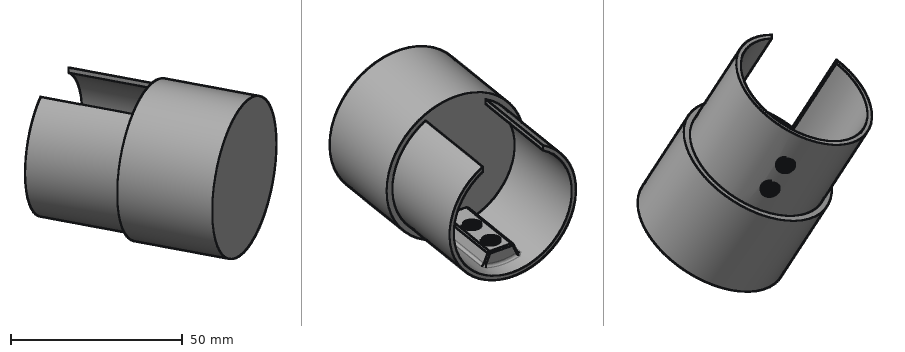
import cadquery as cq
import math

total_length = 60.0
collar_diameter = 48.3
spigot_length = 30.0
spigot_diameter = 44.3
wall = 1.5
slot_width = 21.0
bore_radius = spigot_diameter / 2 - wall

block_start = 6.0
block_top = -15.5
block_top_width = 8.6
block_flank_angle = 23.5
edge_chamfer = 0.5
root_fillet = 0.9

first_hole = 11.5
hole_count = 2
hole_spacing = 10.0
thread_minor_diameter = 5.0
thread_major_diameter = 6.0
thread_pitch = 1.0
thread_groove_floor = 0.1
thread_mouth_share = 0.44
thread_overlap = 0.27


def make_body():
    """Solid collar with a thin-walled hollow spigot."""
    spigot = (
        cq.Workplane("YZ")
        .circle(spigot_diameter / 2)
        .circle(bore_radius)
        .extrude(spigot_length)
    )
    collar = (
        cq.Workplane("YZ", origin=(spigot_length, 0, 0))
        .circle(collar_diameter / 2)
        .extrude(total_length - spigot_length)
    )
    return spigot.union(collar)


def make_block():
    """Trapezoidal block, chamfered on its top and free-end edges."""
    block_bottom = -bore_radius - wall / 2
    flank_run = (block_top - block_bottom) * math.tan(math.radians(block_flank_angle))
    top_half = block_top_width / 2
    bottom_half = top_half + flank_run
    block = (
        cq.Workplane("YZ", origin=(block_start, 0, 0))
        .polyline([
            (-bottom_half, block_bottom),
            (bottom_half, block_bottom),
            (top_half, block_top),
            (-top_half, block_top),
        ])
        .close()
        .extrude(spigot_length - block_start)
    )
    top_edges = block.faces(">Z").edges("not >X")
    end_edges = block.faces("<X").edges("not <Z")
    chamfered = top_edges.add(end_edges).chamfer(edge_chamfer)
    envelope = cq.Workplane("YZ").circle(bore_radius + wall / 2).extrude(spigot_length)
    return chamfered.intersect(envelope)


def fillet_block_root(part):
    """Round the edges where the block meets the bore."""
    tolerance = 0.005

    def on_root(edge):
        on_bore = all(
            abs(math.hypot(point.y, point.z) - bore_radius) < tolerance
            for point in edge.positions([0, 0.5, 1])
        )
        center = edge.Center()
        inside = 0 < center.x < spigot_length - root_fillet
        return on_bore and inside and center.z < 0

    root_edges = [edge for edge in part.edges().vals() if on_root(edge)]
    return part.newObject(root_edges).fillet(root_fillet)


def cut_threaded_hole(part, x):
    """Cut one vertical screw hole with a helical thread."""
    bottom = -spigot_diameter / 2 - thread_pitch
    height = block_top + thread_pitch - bottom
    minor_radius = thread_minor_diameter / 2
    major_radius = thread_major_diameter / 2
    inner_radius = minor_radius - thread_overlap
    mouth_half = thread_pitch * thread_mouth_share
    helix = cq.Wire.makeHelix(thread_pitch, height, minor_radius)
    groove = (
        cq.Workplane("XZ")
        .polyline([
            (inner_radius, -mouth_half),
            (major_radius, -thread_groove_floor / 2),
            (major_radius, thread_groove_floor / 2),
            (inner_radius, mouth_half),
        ])
        .close()
        .sweep(cq.Workplane(obj=helix), isFrenet=True)
    )
    drill = cq.Workplane("XY").circle(minor_radius).extrude(height)
    position = (x, 0, bottom)
    return part.cut(groove.translate(position)).cut(drill.translate(position))


slot = cq.Workplane("XY").box(
    spigot_length, slot_width, spigot_diameter, centered=(False, True, False)
)
result = make_body().union(make_block())
result = fillet_block_root(result)
result = result.cut(slot)
for index in range(hole_count):
    result = cut_threaded_hole(result, first_hole + index * hole_spacing)